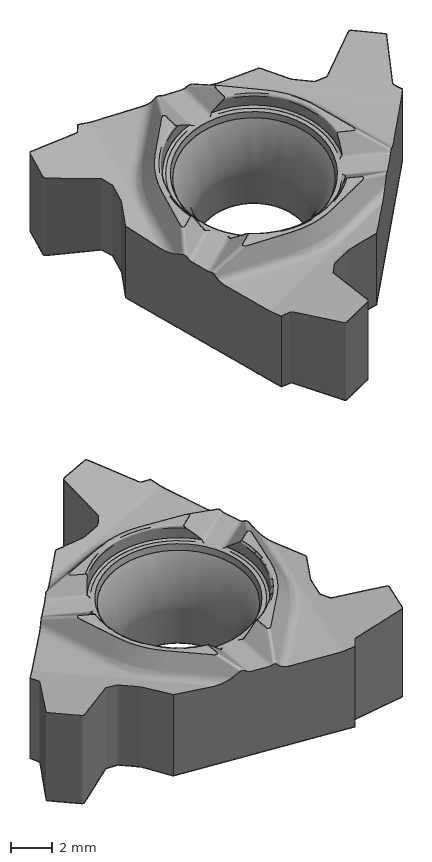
import cadquery as cq
import math

top_z = 6.05
floor_z = 4.99
tooth_tip_z = 5.61

teeth = 3
side_distance = 6.36
side_angle = -60
tip_distance = 9.58
tip_left_x = -5.18
tip_right_x = -3.35
tip_left_round = 0.11
tip_right_round = 0.15
root_round = 0.15
ramp_start = 5.9
ramp_width = 9.42
ramp_blend = 0.56

boss_toe_radius = 5.61
boss_top_radius = 4.8
toe_fillet = 0.65

slot_angle = -45
slot_floor_z = 5.31
slot_near_floor = 0.65
slot_far_floor = 0.49
slot_half_top = 1.5
slot_corner_round = 0.38
ridge_round = 0.19

hole_radius = 5.7 / 2
bowl_bottom_z = 2.18
bowl_rim_radius = 3.92
bowl_rim_z = 4.99
lip_radius = 4.03
ledge_radius = 4.25
recess_foot_radius = 4.4
recess_foot_z = 5.37
recess_top_radius = 4.48
recess_round = 0.11

blank_radius = 13.18
overshoot = 0.38
tolerance = 0.002


def turned(point, angle):
    """Point turned about the axis by an angle in degrees."""
    a = math.radians(angle)
    x, y = point
    return (x * math.cos(a) - y * math.sin(a), x * math.sin(a) + y * math.cos(a))


def three_times(shape):
    """Union of a shape with its copies at the other teeth."""
    copies = shape
    for i in range(1, teeth):
        copies = copies.union(shape.rotate((0, 0, 0), (0, 0, 1), i * 360 / teeth))
    return copies


def outline_prism():
    """Full-height prism of the triangular outline with its teeth."""
    heel_y = -6.97
    side_x, side_y = turned((side_distance, 0), side_angle)
    heel_x = (side_distance ** 2 - side_y * heel_y) / side_x
    left_root = (-5.85, -6.8)
    left_tip = (tip_left_x, -tip_distance)
    right_tip = (tip_right_x, -tip_distance)
    right_root = (-2.64, -6.85)
    gullet_start = (-2.09, -6.52)
    tooth = [
        (-side_distance, -6.57),
        left_root,
        left_tip,
        right_tip,
        right_root,
        gullet_start,
        (-0.96, -6.52),
        (heel_x, heel_y),
    ]
    rounds = [
        (left_root, root_round),
        (left_tip, tip_left_round),
        (right_tip, tip_right_round),
        (right_root, root_round),
        (gullet_start, root_round),
    ]
    points = [turned(p, i * 360 / teeth) for i in range(teeth) for p in tooth]
    prism = cq.Workplane("XY").polyline(points).close().extrude(top_z)
    for corner, radius in rounds:
        for i in range(teeth):
            x, y = turned(corner, i * 360 / teeth)
            nearest = cq.selectors.NearestToPointSelector((x, y, top_z / 2))
            prism = prism.edges("|Z").edges(nearest).fillet(radius)
    return prism


def boss_on_floor():
    """Round floor slab carrying the tapered boss, with a fillet along its toe."""
    r = boss_toe_radius
    arc_angles = (-120, -105, -90)
    start = turned((r, 0), arc_angles[0])
    height = top_z - floor_z
    taper = math.degrees(math.atan((boss_toe_radius - boss_top_radius) / height))
    outline = cq.Workplane("XY").workplane(offset=floor_z).moveTo(*start)
    for i in range(teeth):
        turn = i * 360 / teeth
        arc_start, arc_mid, arc_end = [turned((r, 0), angle + turn) for angle in arc_angles]
        if i > 0:
            outline = outline.lineTo(*arc_start)
        outline = outline.threePointArc(arc_mid, arc_end).lineTo(*turned((r, -r), turn))
    boss = outline.close().extrude(height, taper=taper)
    slab = cq.Workplane("XY").circle(blank_radius).extrude(floor_z)
    toe = cq.selectors.BoxSelector(
        (-blank_radius, -blank_radius, floor_z - tolerance),
        (blank_radius, blank_radius, floor_z + tolerance),
    )
    return slab.union(boss).edges(toe).fillet(toe_fillet)


def tooth_ramp():
    """Wedge rising from the floor to the tooth tip."""
    slope = (tooth_tip_z - floor_z) / (tip_distance - ramp_start)
    foot = ramp_start - overshoot
    end = tip_distance + overshoot
    end_z = floor_z + slope * (end - ramp_start)
    profile = [(-foot, 0), (-foot, floor_z), (-ramp_start, floor_z), (-end, end_z), (-end, 0)]
    wedge = (
        cq.Workplane("YZ", origin=(-side_distance - overshoot, 0, 0))
        .polyline(profile)
        .close()
        .extrude(ramp_width)
    )
    return wedge.edges(cq.selectors.NearestToPointSelector((0, -ramp_start, floor_z))).fillet(ramp_blend)


def clamping_slot():
    """Flared radial slot with a flat floor and rounded bottom corners."""
    depth = top_z - slot_floor_z
    stretch = (depth + overshoot) / depth
    cut_z = top_z + overshoot
    near_mouth = slot_near_floor + (slot_half_top - slot_near_floor) * stretch
    far_mouth = slot_far_floor + (slot_half_top - slot_far_floor) * stretch
    profile = [
        (-slot_near_floor, slot_floor_z),
        (slot_far_floor, slot_floor_z),
        (far_mouth, cut_z),
        (-near_mouth, cut_z),
    ]
    return (
        cq.Workplane("YZ")
        .polyline(profile)
        .close()
        .extrude(blank_radius)
        .edges("|X and <Z")
        .fillet(slot_corner_round)
        .rotate((0, 0, 0), (0, 0, 1), slot_angle)
    )


def centre_opening():
    """Through hole, curved bowl, ledge and ring recess turned about the axis."""
    rise = bowl_rim_z - bowl_bottom_z
    widening = bowl_rim_radius - hole_radius
    bowl_radius = (rise ** 2 + widening ** 2) / (2 * widening)
    half_sweep = math.atan(widening / rise)
    bowl_mid = (
        hole_radius + bowl_radius * (1 - math.cos(half_sweep)),
        bowl_bottom_z + bowl_radius * math.sin(half_sweep),
    )
    return (
        cq.Workplane("XZ")
        .moveTo(0, -overshoot)
        .lineTo(hole_radius, -overshoot)
        .lineTo(hole_radius, bowl_bottom_z)
        .threePointArc(bowl_mid, (bowl_rim_radius, bowl_rim_z))
        .lineTo(lip_radius, slot_floor_z)
        .lineTo(ledge_radius, slot_floor_z)
        .lineTo(recess_foot_radius, recess_foot_z)
        .lineTo(recess_top_radius, top_z)
        .lineTo(recess_top_radius, top_z + overshoot)
        .lineTo(0, top_z + overshoot)
        .close()
        .revolve(360, (0, 0, 0), (0, 1, 0))
    )


def axis_distance(edge):
    """Distance from the axis to the middle of an edge."""
    middle = edge.positionAt(0.5)
    return math.hypot(middle.x, middle.y)


def is_ridge(edge):
    """True for the sloping edges where slot flanks cut the boss wall."""
    start, end = edge.startPoint(), edge.endPoint()
    climbs_to_top = abs(max(start.z, end.z) - top_z) < tolerance
    leaves_top = min(start.z, end.z) < top_z - tolerance
    return climbs_to_top and leaves_top and axis_distance(edge) > boss_top_radius


def is_recess_edge(edge):
    """True for the upper edges of the ring recess, on the boss top."""
    on_top = min(edge.startPoint().z, edge.endPoint().z) > top_z - tolerance
    return on_top and edge.geomType() == "CIRCLE" and axis_distance(edge) < boss_top_radius


body = boss_on_floor().union(three_times(tooth_ramp())).intersect(outline_prism())
body = body.cut(three_times(clamping_slot()))
body = body.newObject([e for e in body.edges().vals() if is_ridge(e)]).fillet(ridge_round)
body = body.cut(centre_opening())
result = body.newObject([e for e in body.edges().vals() if is_recess_edge(e)]).fillet(recess_round)